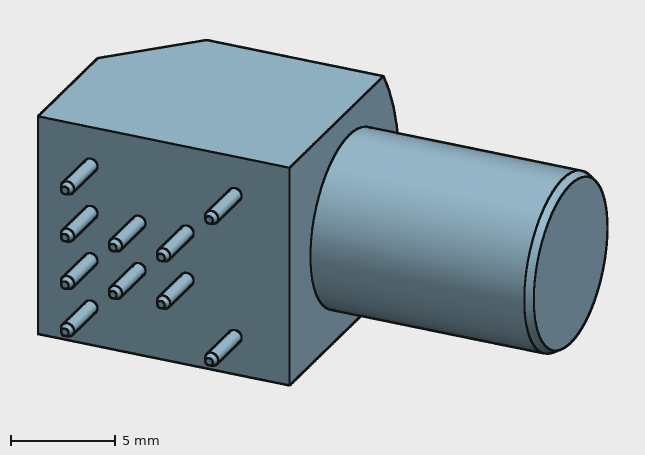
import cadquery as cq

body_length = 13.3
body_width = 11.7
body_height = 12.7
crown_rise = 1.85
bevel_height = 6.9

barrel_diameter = 8.98
overall_length = 25.0
barrel_axis_height = 6.9
mouth_chamfer_length = 0.4
mouth_chamfer_radial = 0.23

pin_diameter = 0.7
pin_length = 3.0
pin_chamfer_length = 0.3
pin_chamfer_radial = 0.15
pitch = 2.54
first_pin_x = 2.8

half_width = body_width / 2
barrel_length = overall_length - body_length
outer_row = 1.5 * pitch
inner_row = 0.5 * pitch
pin_places = [(column, side * inner_row) for column in (0, 1, 2) for side in (-1, 1)]
pin_places += [(column, side * outer_row) for column in (0, 3) for side in (-1, 1)]


def make_housing():
    """Block with a rounded back (+Y) and a 45 degree bevel at the rear (-X) corner."""
    shoulder = body_height - crown_rise
    block = (
        cq.Workplane("YZ")
        .moveTo(0, -half_width)
        .lineTo(shoulder, -half_width)
        .threePointArc((body_height, 0), (shoulder, half_width))
        .lineTo(0, half_width)
        .close()
        .extrude(body_length)
    )
    bevel_leg = body_height - bevel_height
    bevel = (
        cq.Workplane("XY")
        .workplane(offset=-half_width)
        .polyline([(0, bevel_height), (bevel_leg, body_height), (0, body_height)])
        .close()
        .extrude(body_width)
    )
    return block.cut(bevel)


def make_barrel():
    """Round barrel on the front (+X) face with a chamfered mouth edge."""
    return (
        cq.Workplane("YZ", origin=(body_length, barrel_axis_height, 0))
        .circle(barrel_diameter / 2)
        .extrude(barrel_length)
        .faces(">X")
        .edges()
        .chamfer(mouth_chamfer_length, mouth_chamfer_radial)
    )


def make_pin(x, z):
    """Round pin pointing to -Y with a tapered tip."""
    return (
        cq.Workplane("XZ", origin=(x, 0, z))
        .circle(pin_diameter / 2)
        .extrude(pin_length)
        .faces("<Y")
        .edges()
        .chamfer(pin_chamfer_length, pin_chamfer_radial)
    )


result = make_housing().union(make_barrel())
for column, z in pin_places:
    result = result.union(make_pin(first_pin_x + column * pitch, z))